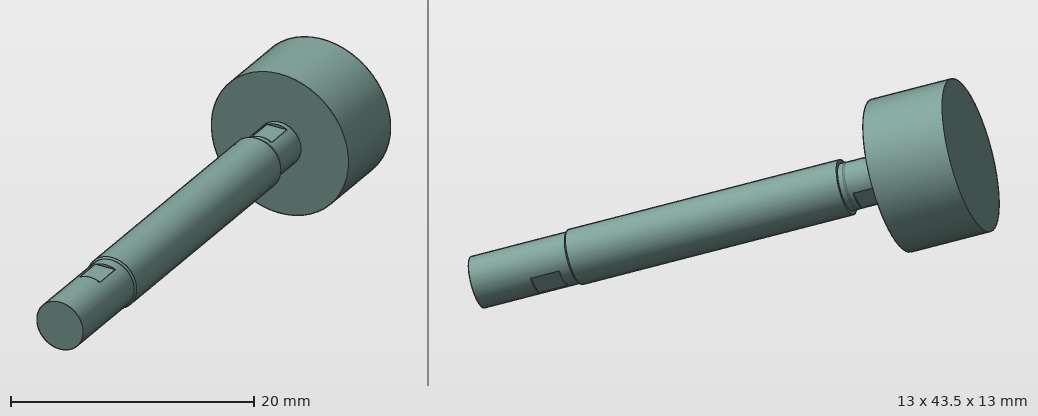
import cadquery as cq

head_end = 7.0
seat_start = 10.4
body_start = 10.95
body_end = 35.0
total_length = 43.5

head_diameter = 13.0
neck_diameter = 4.0
seat_diameter = 4.05
body_diameter = 4.7
shank_diameter = 4.4

seat_taper_length = 0.15
body_chamfer = (body_diameter - shank_diameter) / 2

flat_length = 2.52
neck_flat_start = 7.5
neck_across_flats = 3.52
shank_flat_start = 35.97
shank_across_flats = 3.95

head_face_y = total_length / 2


def turned_blank():
    """Stepped pin with its head, revolved about the Y axis."""
    corners = [
        (0, 0),
        (head_diameter / 2, 0),
        (head_diameter / 2, head_end),
        (neck_diameter / 2, head_end),
        (neck_diameter / 2, seat_start),
        (seat_diameter / 2, seat_start + seat_taper_length),
        (seat_diameter / 2, body_start),
        (body_diameter / 2, body_start),
        (body_diameter / 2, body_end - body_chamfer),
        (shank_diameter / 2, body_end),
        (shank_diameter / 2, total_length),
        (0, total_length),
    ]
    profile = [(radius, head_face_y - station) for radius, station in corners]
    return cq.Workplane("XY").polyline(profile).close().revolve(360, (0, 0), (0, 1))


def flats_cutter(diameter, across_flats, start):
    """Two blocks that leave parallel flats on a cylinder of the given diameter."""
    depth = (diameter - across_flats) / 2
    center_y = head_face_y - start - flat_length / 2
    center_z = (across_flats + depth) / 2
    block = cq.Workplane("XY").box(diameter, flat_length, depth)
    upper = block.translate((0, center_y, center_z))
    lower = block.translate((0, center_y, -center_z))
    return upper.union(lower)


result = (
    turned_blank()
    .cut(flats_cutter(neck_diameter, neck_across_flats, neck_flat_start))
    .cut(flats_cutter(shank_diameter, shank_across_flats, shank_flat_start))
)